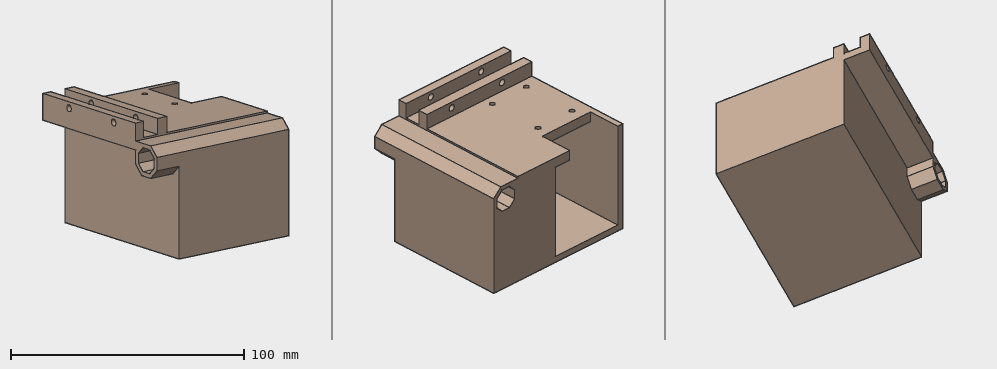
import cadquery as cq
import math

width = 77.5
depth = 73.0
height = 59.5

wall = 3.0
plate_top = 52.4
plate_thickness = 4.8
plate_bottom = plate_top - plate_thickness
overhang = 12.25
cavity_right = 40.4

front_rail_width = 4.5
rear_rail_width = 5.0
rail_hole_diameter = 3.0
rail_hole_positions = (17.9, 48.1)
rail_hole_drop = 2.9

tube_across_flats = 14.5
bore_across_flats = 10.6
tube_top = 51.5
tube_x = width - tube_across_flats / 2
tube_z = tube_top - tube_across_flats / 2
plate_width = width - tube_across_flats

notch_right = 31.9
notch_depth = 16.75
mount_hole_diameter = 2.5
mount_hole_columns = (8.0, 28.4)
mount_hole_rows = (21.9, 50.0)


def block(x0, x1, y0, y1, z0, z1):
    """Axis-aligned block between two opposite corners."""
    return cq.Workplane("XY").box(x1 - x0, y1 - y0, z1 - z0, centered=False).translate((x0, y0, z0))


def octagonal_bar(across_flats):
    """Regular octagonal bar over the full depth, with flats on top and bottom."""
    corner_radius = across_flats / 2 / math.cos(math.pi / 8)
    corners = []
    for index in range(8):
        angle = (index + 0.5) * math.pi / 4
        x = tube_x + corner_radius * math.cos(angle)
        z = tube_z + corner_radius * math.sin(angle)
        corners.append((x, z))
    return cq.Workplane("XZ").polyline(corners).close().extrude(-depth)


def make_box():
    """Box under the plate, with a cavity that opens at the rear."""
    left_part = block(0, plate_width, overhang, depth, 0, plate_top)
    right_part = block(plate_width, width, overhang, depth, 0, tube_z)
    tube_web = block(plate_width, tube_x, 0, depth, tube_z, tube_top)
    cavity = block(wall, cavity_right, overhang + wall, depth, wall, plate_bottom)
    return left_part.union(right_part).union(tube_web).cut(cavity)


def make_rails():
    """Overhanging plate front with two upright rails."""
    shelf = block(0, plate_width, 0, overhang, plate_bottom, plate_top)
    front_rail = block(0, plate_width, 0, front_rail_width, plate_bottom, height)
    rear_rail = block(0, plate_width, overhang, overhang + rear_rail_width, plate_bottom, height)
    return shelf.union(front_rail).union(rear_rail)


def rail_holes():
    """Cross holes through both rails."""
    centers = [(x, height - rail_hole_drop) for x in rail_hole_positions]
    return cq.Workplane("XZ").pushPoints(centers).circle(rail_hole_diameter / 2).extrude(-depth)


def mount_holes():
    """Four vertical holes through the plate into the cavity."""
    centers = [(x, y) for x in mount_hole_columns for y in mount_hole_rows]
    plane = cq.Workplane("XY", origin=(0, 0, plate_bottom))
    return plane.pushPoints(centers).circle(mount_hole_diameter / 2).extrude(plate_thickness)


notch = block(wall, notch_right, depth - notch_depth, depth, plate_bottom, plate_top)

result = make_box().union(make_rails()).union(octagonal_bar(tube_across_flats))
result = result.cut(octagonal_bar(bore_across_flats))
result = result.cut(notch).cut(rail_holes()).cut(mount_holes())